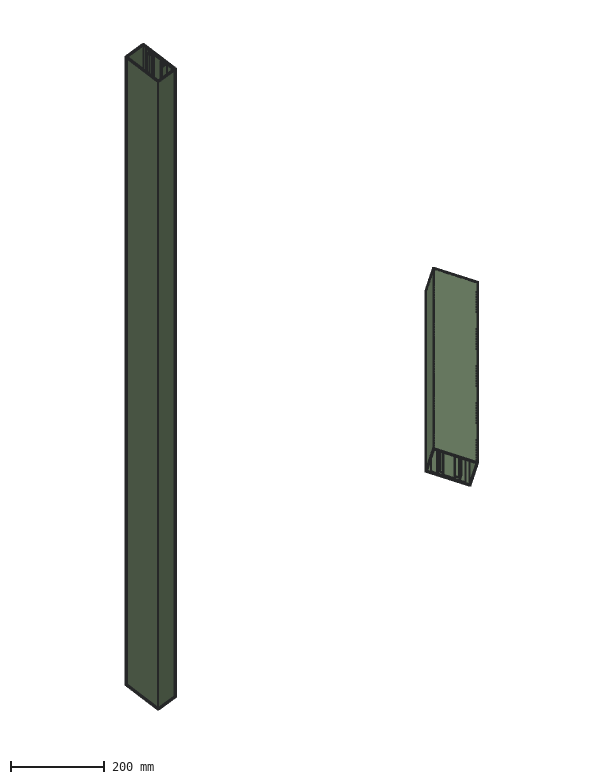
import cadquery as cq

length = 2000.0
width = 100.0
wall = 2.0

plate_width = 78.0
plate_thickness = 1.0
plate_end_gap = 2.0

rail_width = 50.0
web_thickness = 1.5
channel_width = 25.0
shoulder_height = 5.0
leg_thickness = 3.0
leg_height = 12.5
leg_clearance = 35.0

cavity_depth = leg_clearance + leg_height + web_thickness + plate_thickness
depth = cavity_depth + 2 * wall

plate_back = depth / 2 - wall
rail_back = plate_back - plate_thickness
web_face = rail_back - web_thickness
shoulder_face = web_face - shoulder_height
leg_tip = web_face - leg_height


def make_housing():
    """Rectangular tube, open at both ends."""
    return (
        cq.Workplane("XY")
        .rect(width, depth)
        .rect(width - 2 * wall, cavity_depth)
        .extrude(length)
    )


def make_plate():
    """Flat strip lying on the inner +Y wall, slightly shorter than the housing."""
    return (
        cq.Workplane("XY", origin=(0, plate_back - plate_thickness / 2, plate_end_gap))
        .rect(plate_width, plate_thickness)
        .extrude(length - 2 * plate_end_gap)
    )


def make_rail():
    """Stepped channel as long as the housing, mirrored about the YZ plane."""
    half_rail = rail_width / 2
    half_channel = channel_width / 2
    leg_inner = half_rail - leg_thickness
    return (
        cq.Workplane("XY")
        .moveTo(0, rail_back)
        .lineTo(half_rail, rail_back)
        .lineTo(half_rail, leg_tip)
        .lineTo(leg_inner, leg_tip)
        .lineTo(leg_inner, shoulder_face)
        .lineTo(half_channel, shoulder_face)
        .lineTo(half_channel, web_face)
        .lineTo(0, web_face)
        .mirrorY()
        .extrude(length)
    )


housing = make_housing()
plate = make_plate()
rail = make_rail()

result = cq.Compound.makeCompound([housing.val(), plate.val(), rail.val()])